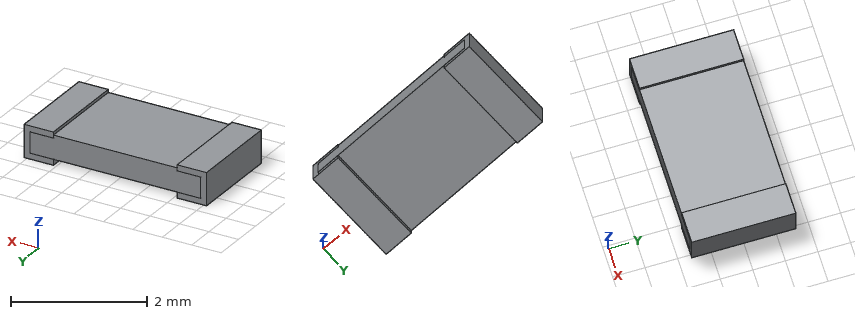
import cadquery as cq

chip_length = 3.1
chip_width = 1.6
chip_height = 0.55

band_length = 0.5
cap_thickness = 0.1
coating_rise = 0.05

core_length = chip_length - 2 * cap_thickness
core_height = chip_height - 2 * cap_thickness
exposed_length = chip_length - 2 * band_length


def make_core():
    """Flat ceramic bar whose middle, between the caps, is raised on top."""
    bar = cq.Workplane("XY").box(core_length, chip_width, core_height)
    raised_middle = (
        cq.Workplane("XY")
        .workplane(offset=core_height / 2)
        .rect(exposed_length, chip_width)
        .extrude(coating_rise)
    )
    return bar.union(raised_middle)


def make_end_cap(side):
    """C-shaped metal cap around one end of the core; side is -1 or +1 along X."""
    outer_end = side * chip_length / 2
    inner_wall = side * core_length / 2
    band_edge = side * exposed_length / 2
    outer_z = chip_height / 2
    inner_z = core_height / 2
    return (
        cq.Workplane("XZ")
        .moveTo(outer_end, -outer_z)
        .lineTo(outer_end, outer_z)
        .lineTo(band_edge, outer_z)
        .lineTo(band_edge, inner_z)
        .lineTo(inner_wall, inner_z)
        .lineTo(inner_wall, -inner_z)
        .lineTo(band_edge, -inner_z)
        .lineTo(band_edge, -outer_z)
        .close()
        .extrude(chip_width / 2, both=True)
    )


core = make_core()
end_caps = [make_end_cap(side) for side in (-1, 1)]

result = cq.Compound.makeCompound([core.val(), *[cap.val() for cap in end_caps]])